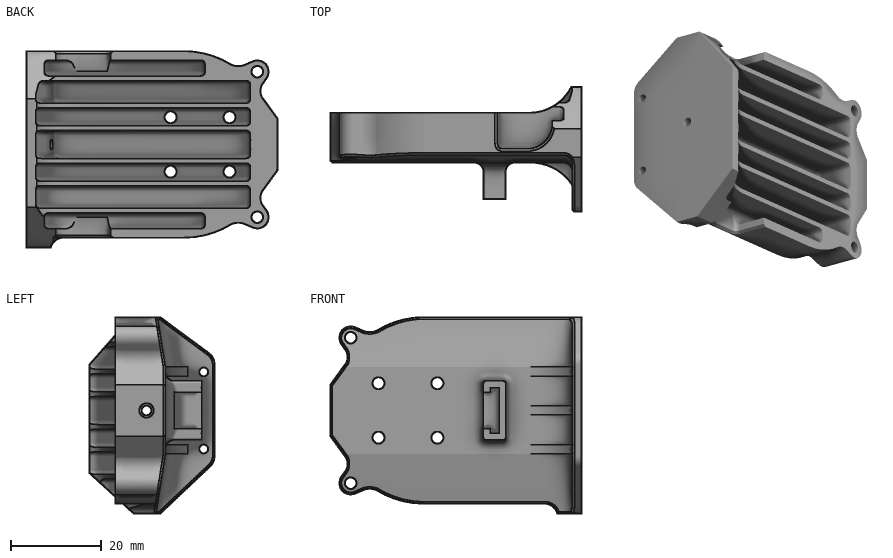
import cadquery as cq
import math

LENGTH = 55.4
HALF_HEIGHT = 20.6
FOOT_Z = -22.78
BACK_Y = 11.05
FLANGE_BACK_Y = 16.75
FLANGE_FRONT_Y = -10.87
FLANGE_THICKNESS = 2.0
FLANGE_X = LENGTH - FLANGE_THICKNESS

RIDGE_Z = 9.6
FRONT_SLOPE_ANGLE = 9
FRONT_SLOPE = math.tan(math.radians(FRONT_SLOPE_ANGLE))
PLATE_THICKNESS = 2.0
EDGE_CHAMFER = 0.45

NOSE_HALF_HEIGHT = 5.7
NECK_START = (3.4, 10.35)
NECK_MID = (3.75, 11.8)
NECK_END = (3.4, 13.2)
EAR_X, EAR_Z = 4.47, 16.05
EAR_RADIUS = 2.5
EAR_NECK_ANGLE = 215
EAR_SADDLE_ANGLE = 65
SADDLE_START = (7.3, 17.55)
SADDLE_MID = (8.7, 17.3)
SHOULDER_X = 20.7
SHOULDER_RADIUS = 19.9
SHOULDER_START_X = 10.2

FOOT_X = 50.1
FOOT_FILLET = 2.75

FLANGE_TIP_Y = 1.17
FLANGE_FRONT_TOP_Z, FLANGE_FRONT_BOTTOM_Z = 11.7, -11.4
FLANGE_CORNER_RADIUS = 3.0
FLANGE_BACK_TOP_Z, FLANGE_BACK_BOTTOM_Z = 10.1, -13.8
BACK_CUT_TOP_Y, BACK_CUT_BOTTOM_Y = 7.5, 6.92
BACK_CUT_X = 48.9
FLANGE_FILLET = 2.0

REAR_FLARE_X = 44.0
REAR_FLARE_RADIUS = 10.2
GUSSET_X = 44.25
GUSSET_REACH = 5.0
GUSSET_WIDTH = 2.0
GUSSET_OFFSET_Z = RIDGE_Z - GUSSET_WIDTH / 2
GUSSET_CENTRES_Z = (-GUSSET_OFFSET_Z, 0, GUSSET_OFFSET_Z)

RIB_THICKNESS = 1.0
RIB_CENTRES_Z = (3.6, 8.6, 14.6)
BAY_RIDGE_Z = RIB_CENTRES_Z[1] + RIB_THICKNESS / 2
SIDE_WALL = 2.0
BAY_START_X = 6.0
OUTER_BAY_START_X = 16.0
BAY_FILLET = 1.0
OUTER_BAY_END_X = 51.5
BAY_END_SLOPE = 0.294
LEAN_TOP_Y = 16.1

WINDOW_X0, WINDOW_X1 = 36.3, 49.5
WINDOW_Y = 2.5
WINDOW_SMALL_RADIUS = 1.7
WINDOW_LARGE_RADIUS = 6.2
WINDOW_CHAMFER = 0.55
WINDOW_CHAMFER_ANGLE = 45

CLIP_X0, CLIP_X1 = 33.76, 38.66
CLIP_HALF_HEIGHT = 6.5
CLIP_Y = -8.03
CLIP_CORNER_RADIUS = 0.5
CLIP_ROOT_FILLET = 2.0
SLOT_X0, SLOT_X1 = 35.27, 37.27
SLOT_HALF_HEIGHT = 5.03
SLOT_MOUTH_HALF_HEIGHT = 4.03
SLOT_FLOOR_Y = -2.0

EAR_HOLE = 2.5
PLATE_HOLE = 2.6
PLATE_HOLES_X = (10.6, 23.6)
PLATE_HOLE_Z = 6.0
FLANGE_HOLE = 1.9
FLANGE_HOLE_Y, FLANGE_HOLE_Z = -8.46, 8.5
AXIAL_HOLE_Y = 4.15
AXIAL_HOLE = 2.1
AXIAL_BORE = 3.2
AXIAL_BORE_DEPTH = 1.0

MARGIN = 5.0
PICK_SLACK = 0.1


def plane_xz(y):
    """Sketch plane (X, Z) at position y; a negative extrusion runs toward +Y."""
    return cq.Workplane("XZ", origin=(0, y, 0))


def plane_yz(x):
    """Sketch plane (Y, Z) at position x; extrusions run toward +X."""
    return cq.Workplane("YZ", origin=(x, 0, 0))


def plane_xy(z):
    """Sketch plane (X, Y) at height z; extrusions run toward +Z."""
    return cq.Workplane("XY", origin=(0, 0, z))


def front_y(z, ridge=RIDGE_Z):
    """Y of a face that is flat out to the ridge and slopes back beyond it."""
    return max(0, abs(z) - ridge) * FRONT_SLOPE


def hole_y(x, z, diameter):
    """Cutting tool for a hole along Y through the whole part."""
    return plane_xz(FLANGE_FRONT_Y).center(x, z).circle(diameter / 2).extrude(FLANGE_FRONT_Y - FLANGE_BACK_Y)


def sag_radius(run, rise):
    """Radius of an arc that starts tangent to the run and climbs by the rise."""
    return (run ** 2 + rise ** 2) / (2 * rise)


def ear_point(angle):
    """Point at an angle on the rim of the upper ear."""
    turn = math.radians(angle)
    return EAR_X + EAR_RADIUS * math.cos(turn), EAR_Z + EAR_RADIUS * math.sin(turn)


def mirrored(point):
    return point[0], -point[1]


def shoulder_point(x):
    """Point on the upper shoulder arc at x."""
    drop = SHOULDER_RADIUS - math.sqrt(SHOULDER_RADIUS ** 2 - (SHOULDER_X - x) ** 2)
    return x, HALF_HEIGHT - drop


def pick_box(low, high):
    """Selector for edges centred in a box, with a little slack all round."""
    return cq.selectors.BoxSelector([v - PICK_SLACK for v in low], [v + PICK_SLACK for v in high])


def body_outline():
    """Outline of body and foot in XZ, extruded over the full depth of the part."""
    ear_neck = ear_point(EAR_NECK_ANGLE)
    ear_mid = ear_point((EAR_NECK_ANGLE + EAR_SADDLE_ANGLE) / 2)
    ear_saddle = ear_point(EAR_SADDLE_ANGLE)
    shoulder_start = shoulder_point(SHOULDER_START_X)
    shoulder_mid = shoulder_point((SHOULDER_START_X + SHOULDER_X) / 2)
    shoulder_end = shoulder_point(SHOULDER_X)

    foot_top_x = FOOT_X - FOOT_FILLET
    foot_sweep = math.acos(1 - (-HALF_HEIGHT - FOOT_Z) / FOOT_FILLET)
    foot_end = (foot_top_x + FOOT_FILLET * math.sin(foot_sweep), FOOT_Z)
    foot_mid = (
        foot_top_x + FOOT_FILLET * math.sin(foot_sweep / 2),
        -HALF_HEIGHT - FOOT_FILLET * (1 - math.cos(foot_sweep / 2)),
    )
    return (
        plane_xz(FLANGE_FRONT_Y)
        .moveTo(0, -NOSE_HALF_HEIGHT)
        .lineTo(0, NOSE_HALF_HEIGHT)
        .lineTo(*NECK_START)
        .threePointArc(NECK_MID, NECK_END)
        .lineTo(*ear_neck)
        .threePointArc(ear_mid, ear_saddle)
        .lineTo(*SADDLE_START)
        .threePointArc(SADDLE_MID, shoulder_start)
        .threePointArc(shoulder_mid, shoulder_end)
        .lineTo(LENGTH, HALF_HEIGHT)
        .lineTo(LENGTH, FOOT_Z)
        .lineTo(*foot_end)
        .threePointArc(foot_mid, (foot_top_x, -HALF_HEIGHT))
        .lineTo(*mirrored(shoulder_end))
        .threePointArc(mirrored(shoulder_mid), mirrored(shoulder_start))
        .threePointArc(mirrored(SADDLE_MID), mirrored(SADDLE_START))
        .lineTo(*mirrored(ear_saddle))
        .threePointArc(mirrored(ear_mid), mirrored(ear_neck))
        .lineTo(*mirrored(NECK_END))
        .threePointArc(mirrored(NECK_MID), mirrored(NECK_START))
        .close()
        .extrude(FLANGE_FRONT_Y - FLANGE_BACK_Y)
    )


def front_profile():
    """Everything behind the three-faced plate front, joined to the flange slab by a root fillet."""
    far_z = MARGIN - FOOT_Z
    far_y = front_y(far_z)
    behind_plate = (
        plane_yz(-MARGIN)
        .polyline([
            (0, -RIDGE_Z),
            (0, RIDGE_Z),
            (far_y, far_z),
            (FLANGE_BACK_Y, far_z),
            (FLANGE_BACK_Y, -far_z),
            (far_y, -far_z),
        ])
        .close()
        .extrude(LENGTH + 2 * MARGIN)
    )
    flange_slab = (
        cq.Workplane("XY")
        .box(LENGTH, FLANGE_BACK_Y - FLANGE_FRONT_Y, 2 * far_z, centered=(False, False, True))
        .translate((FLANGE_X, FLANGE_FRONT_Y, 0))
    )
    root = pick_box((FLANGE_X, 0, -far_z), (FLANGE_X, far_y, far_z))
    return behind_plate.union(flange_slab).edges(root).fillet(FLANGE_FILLET)


def rear_flare():
    """Everything in front of the rear face, which sweeps back in an arc to the flange."""
    rise = FLANGE_BACK_Y - BACK_Y
    end_x = REAR_FLARE_X + math.sqrt(REAR_FLARE_RADIUS ** 2 - (REAR_FLARE_RADIUS - rise) ** 2)
    return (
        plane_xy(FOOT_Z - MARGIN)
        .moveTo(-MARGIN, FLANGE_FRONT_Y)
        .lineTo(-MARGIN, BACK_Y)
        .lineTo(REAR_FLARE_X, BACK_Y)
        .radiusArc((end_x, FLANGE_BACK_Y), -REAR_FLARE_RADIUS)
        .lineTo(LENGTH + MARGIN, FLANGE_BACK_Y)
        .lineTo(LENGTH + MARGIN, FLANGE_FRONT_Y)
        .close()
        .extrude(2 * (MARGIN - FOOT_Z))
    )


def corner_cut(x0, start, end):
    """Wedge outside one sloping side of the flange; start is on the top or foot, end on a long Y side."""
    outer = (end[0] + math.copysign(MARGIN, end[0]), start[1] + math.copysign(MARGIN, start[1]))
    slope = (end[1] - start[1]) / (end[0] - start[0])
    return (
        plane_yz(x0)
        .polyline([
            (start[0] - (start[1] - outer[1]) / slope, outer[1]),
            (outer[0], end[1] + (outer[0] - end[0]) * slope),
            outer,
        ])
        .close()
        .extrude(LENGTH)
    )


def front_gusset(z):
    """Arc-topped gusset between plate and flange, centred at height z."""
    radius = sag_radius(FLANGE_X - GUSSET_X, GUSSET_REACH)
    return (
        plane_xy(z - GUSSET_WIDTH / 2)
        .moveTo(GUSSET_X, 0)
        .radiusArc((FLANGE_X, -GUSSET_REACH), radius)
        .lineTo(FLANGE_X, PLATE_THICKNESS)
        .lineTo(GUSSET_X, PLATE_THICKNESS)
        .close()
        .extrude(GUSSET_WIDTH)
    )


def bay(z0, z1, start_x, end_x=FLANGE_X, leaning_end=False):
    """Cutting tool for one bay between ribs; its floor keeps the plate thickness."""
    floor0 = PLATE_THICKNESS + front_y(z0, BAY_RIDGE_Z)
    floor1 = PLATE_THICKNESS + front_y(z1, BAY_RIDGE_Z)
    top_y = FLANGE_BACK_Y + MARGIN
    tool = (
        plane_yz(start_x)
        .polyline([(floor0, z0), (floor1, z1), (top_y, z1), (top_y, z0)])
        .close()
        .extrude(end_x - start_x)
    )
    if leaning_end:
        wedge = (
            plane_xy(z0)
            .polyline([(end_x - LEAN_TOP_Y * BAY_END_SLOPE, 0), (end_x, LEAN_TOP_Y), (end_x, 0)])
            .close()
            .extrude(z1 - z0)
        )
        tool = tool.cut(wedge)
    return tool.edges("not(>Y)").fillet(BAY_FILLET)


def bays():
    """All seven bays, split by six ribs; the central and upper middle ones have leaning ends."""
    half = RIB_THICKNESS / 2
    inner, middle, outer = RIB_CENTRES_Z
    wall_z = HALF_HEIGHT - SIDE_WALL
    tools = bay(-inner + half, inner - half, BAY_START_X, leaning_end=True)
    for side in (-1, 1):
        inner_z = sorted((side * (inner + half), side * (middle - half)))
        middle_z = sorted((side * (middle + half), side * (outer - half)))
        outer_z = sorted((side * (outer + half), side * wall_z))
        tools = tools.union(bay(*inner_z, BAY_START_X))
        tools = tools.union(bay(*middle_z, BAY_START_X, leaning_end=side > 0))
        tools = tools.union(bay(*outer_z, OUTER_BAY_START_X, end_x=OUTER_BAY_END_X))
    return tools


def window_outline(z, grow):
    """Side window outline in XY, open toward the rear, enlarged all round by grow."""
    x0, x1, y0 = WINDOW_X0 - grow, WINDOW_X1 + grow, WINDOW_Y - grow
    small, large = WINDOW_SMALL_RADIUS + grow, WINDOW_LARGE_RADIUS + grow
    top_y = FLANGE_BACK_Y + MARGIN
    return (
        plane_xy(z)
        .moveTo(x0, top_y)
        .lineTo(x0, y0 + small)
        .radiusArc((x0 + small, y0), -small)
        .lineTo(x1 - large, y0)
        .radiusArc((x1, y0 + large), -large)
        .lineTo(x1, top_y)
        .close()
    )


def side_window(side):
    """Window through one side wall into the outer bay, with a chamfered rim."""
    inner_z = RIB_CENTRES_Z[-1] + RIB_THICKNESS / 2 + BAY_FILLET
    through = window_outline(side * inner_z, -WINDOW_CHAMFER).extrude(side * (HALF_HEIGHT - inner_z))
    rim = window_outline(side * HALF_HEIGHT, 0).extrude(-side * WINDOW_CHAMFER, taper=WINDOW_CHAMFER_ANGLE)
    outside = window_outline(side * HALF_HEIGHT, 0).extrude(side * MARGIN)
    return through.union(rim).union(outside)


def clip_post():
    """Solid post of the clip, sunk a little into the plate."""
    return (
        plane_xz(CLIP_Y)
        .center((CLIP_X0 + CLIP_X1) / 2, 0)
        .rect(CLIP_X1 - CLIP_X0, 2 * CLIP_HALF_HEIGHT)
        .extrude(CLIP_Y - PLATE_THICKNESS / 2)
        .edges("|Y")
        .fillet(CLIP_CORNER_RADIUS)
    )


def clip_slot():
    """Slot along Y: a wide channel with a narrower mouth toward -X."""
    depth = SLOT_FLOOR_Y - CLIP_Y
    channel = plane_xz(CLIP_Y).center((SLOT_X0 + SLOT_X1) / 2, 0)
    channel = channel.rect(SLOT_X1 - SLOT_X0, 2 * SLOT_HALF_HEIGHT).extrude(-depth)
    mouth_x0 = CLIP_X0 - MARGIN
    mouth = plane_xz(CLIP_Y).center((mouth_x0 + SLOT_X0) / 2, 0)
    mouth = mouth.rect(SLOT_X0 - mouth_x0, 2 * SLOT_MOUTH_HALF_HEIGHT).extrude(-depth)
    return channel.union(mouth)


def holes():
    """All drilled holes: axial, ears, plate and flange."""
    axis = plane_yz(0).center(AXIAL_HOLE_Y, 0)
    tools = axis.circle(AXIAL_HOLE / 2).extrude(LENGTH)
    tools = tools.union(axis.circle(AXIAL_BORE / 2).extrude(AXIAL_BORE_DEPTH))
    for side in (-1, 1):
        tools = tools.union(hole_y(EAR_X, side * EAR_Z, EAR_HOLE))
        for x in PLATE_HOLES_X:
            tools = tools.union(hole_y(x, side * PLATE_HOLE_Z, PLATE_HOLE))
        flange_hole = plane_yz(FLANGE_X).center(FLANGE_HOLE_Y, side * FLANGE_HOLE_Z)
        tools = tools.union(flange_hole.circle(FLANGE_HOLE / 2).extrude(FLANGE_THICKNESS))
    return tools


def front_rim(body):
    """Edges bounding the continuous front surface: plate, root fillet and flange face."""
    front_faces = body.faces(cq.selectors.BoxSelector(
        (EAR_X, FLANGE_FRONT_Y, FOOT_Z), (FLANGE_X + PICK_SLACK, FLANGE_TIP_Y, HALF_HEIGHT)
    ))
    edges = [edge for face in front_faces.vals() for edge in face.Edges()]
    rim = [edge for edge in edges if sum(edge.isSame(other) for other in edges) == 1]
    return body.newObject(rim)


part = body_outline().intersect(front_profile()).intersect(rear_flare())
for z_top, z_corner in ((HALF_HEIGHT, FLANGE_FRONT_TOP_Z), (FOOT_Z, FLANGE_FRONT_BOTTOM_Z)):
    part = part.cut(corner_cut(FLANGE_X - FLANGE_FILLET, (FLANGE_TIP_Y, z_top), (FLANGE_FRONT_Y, z_corner)))
part = part.edges("|X").edges("<Y").fillet(FLANGE_CORNER_RADIUS)
part = front_rim(part).chamfer(EDGE_CHAMFER)
for z in GUSSET_CENTRES_Z:
    part = part.union(front_gusset(z))

part = part.union(clip_post())
clip_root = pick_box((CLIP_X0, 0, -CLIP_HALF_HEIGHT), (CLIP_X1, 0, CLIP_HALF_HEIGHT))
part = part.edges(clip_root).fillet(CLIP_ROOT_FILLET)
part = part.cut(clip_slot())

part = part.cut(corner_cut(BACK_CUT_X, (BACK_CUT_TOP_Y, HALF_HEIGHT), (FLANGE_BACK_Y, FLANGE_BACK_TOP_Z)))
part = part.cut(corner_cut(BACK_CUT_X, (BACK_CUT_BOTTOM_Y, FOOT_Z), (FLANGE_BACK_Y, FLANGE_BACK_BOTTOM_Z)))
part = part.cut(bays())
for side in (-1, 1):
    part = part.cut(side_window(side))
result = part.cut(holes())